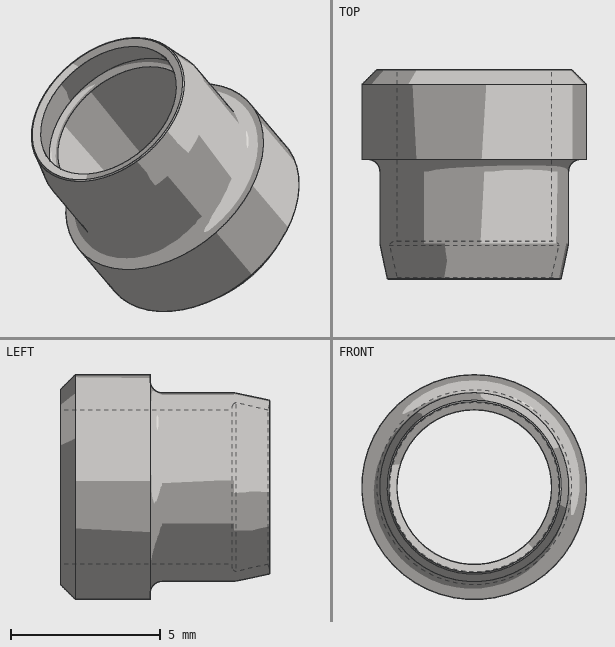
import cadquery as cq
import math

length = 7.0
head_radius = 3.75
head_length = 3.0
head_chamfer = 0.5
neck_radius = 3.15
neck_fillet = 0.4
bore_radius = 2.57

taper_length = 1.2
tip_radius = 2.9
tip_edge_drop = 0.05
tip_edge_length = 0.03

mouth_depth = 0.075

recess_depth = 1.14
recess_radius = 2.82
recess_end_length = 0.135
recess_step = 0.03

tip_rim_radius = tip_radius - tip_edge_drop
shoulder_y = length - head_length
bore_start_y = recess_depth + recess_end_length
arc_point = math.sqrt(0.5)


def outer_body():
    """Solid of revolution bounded by the outside of the sleeve."""
    profile = (
        cq.Workplane("ZY")
        .moveTo(0, 0)
        .lineTo(tip_rim_radius, 0)
        .lineTo(tip_radius, tip_edge_length)
        .lineTo(neck_radius, taper_length)
        .lineTo(neck_radius, shoulder_y - neck_fillet)
        .threePointArc(
            (
                neck_radius + neck_fillet * (1 - arc_point),
                shoulder_y - neck_fillet * (1 - arc_point),
            ),
            (neck_radius + neck_fillet, shoulder_y),
        )
        .lineTo(head_radius, shoulder_y)
        .lineTo(head_radius, length - head_chamfer)
        .lineTo(head_radius - head_chamfer, length)
        .lineTo(0, length)
        .close()
    )
    return profile.revolve(360, (0, 0, 0), (0, 1, 0))


def inner_cavity():
    """Through bore with the dished end face and the flared recess, rounded at its inner end."""
    step_radius = bore_radius + recess_step
    recess_end_height = recess_radius - step_radius
    profile = (
        cq.Workplane("ZY")
        .moveTo(0, 0)
        .lineTo(tip_rim_radius, 0)
        .lineTo(bore_radius, mouth_depth)
        .lineTo(recess_radius, recess_depth)
        .threePointArc(
            (
                step_radius + recess_end_height * arc_point,
                recess_depth + recess_end_length * arc_point,
            ),
            (step_radius, bore_start_y),
        )
        .lineTo(bore_radius, bore_start_y)
        .lineTo(bore_radius, length)
        .lineTo(0, length)
        .close()
    )
    return profile.revolve(360, (0, 0, 0), (0, 1, 0))


result = outer_body().cut(inner_cavity())